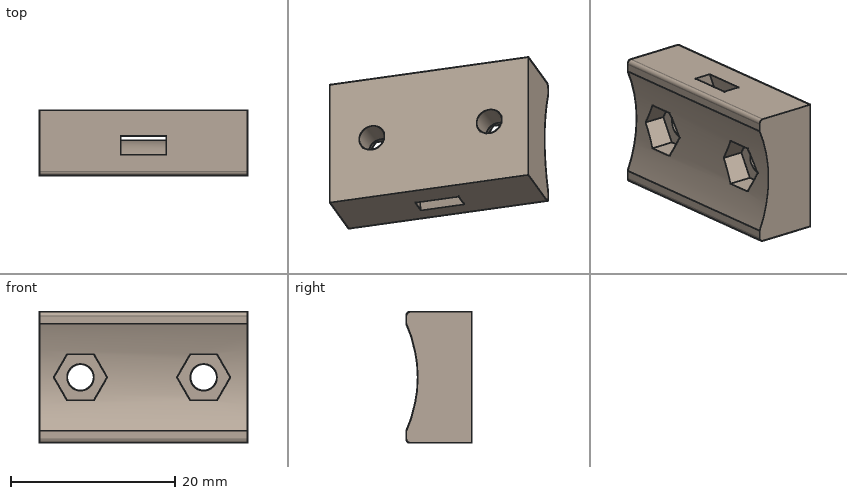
import cadquery as cq
import math

length = 25.4
depth = 8.0
height = 16.0
edge_radius = 0.5

saddle_radius = 16.0
saddle_half_width = 6.53
saddle_axis_y = -math.sqrt(saddle_radius**2 - saddle_half_width**2)

slot_width = 5.54
slot_inner_radius = 18.95
slot_outer_radius = 21.0

bolt_spacing = 15.0
bolt_pair_x = -0.18
bolt_diameter = 3.2
nut_across_flats = 5.65
nut_across_corners = nut_across_flats / math.cos(math.pi / 6)
nut_floor_y = 4.2


def cylinder_along_x(radius, width):
    """Cylinder on the saddle axis, centred in x."""
    return (
        cq.Workplane("YZ")
        .center(saddle_axis_y, 0)
        .circle(radius)
        .extrude(width / 2, both=True)
    )


def make_block():
    block = cq.Workplane("XY").box(length, depth, height).translate((0, depth / 2, 0))
    return block.faces("<Y").edges("|X").fillet(edge_radius)


def make_strap_slot():
    outer = cylinder_along_x(slot_outer_radius, slot_width)
    inner = cylinder_along_x(slot_inner_radius, slot_width)
    return outer.cut(inner)


def make_bolt_cutter(x):
    """Through hole plus nut pocket, with hexagon corners pointing along x."""
    front = cq.Workplane("XZ").center(x, 0)
    hole = front.circle(bolt_diameter / 2).extrude(-depth)
    pocket = front.polygon(6, nut_across_corners).extrude(-nut_floor_y)
    return hole.union(pocket)


result = make_block()
result = result.cut(cylinder_along_x(saddle_radius, length))
result = result.cut(make_strap_slot())
for side in (-1, 1):
    result = result.cut(make_bolt_cutter(bolt_pair_x + side * bolt_spacing / 2))